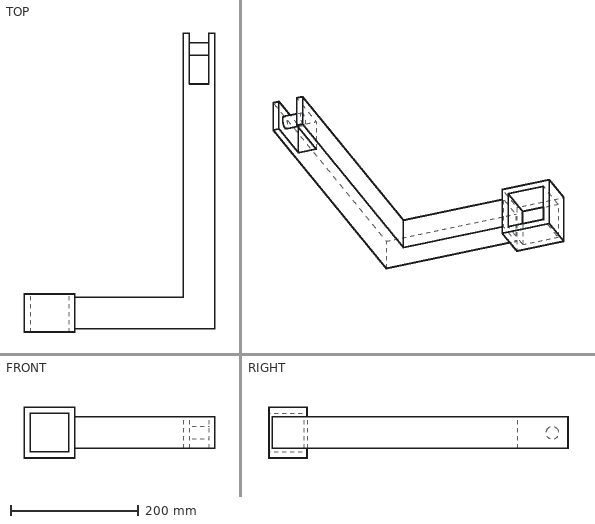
import cadquery as cq

sleeve_size = 80.0
sleeve_wall = 10.0
sleeve_length = 60.0
sleeve_bore = sleeve_size - 2 * sleeve_wall

bar_size = 50.0
overall_x = 300.0
overall_y = 470.0
bar_front_y = (sleeve_length - bar_size) / 2
long_arm_center_x = overall_x - bar_size / 2

slot_width = 30.0
slot_depth = 80.0

pin_diameter = 20.0
pin_end_distance = 25.0
pin_y = overall_y - pin_end_distance


def block(x_start, x_end, y_start, y_end, height):
    """Box between the given X and Y limits, centred on Z = 0."""
    return (
        cq.Workplane("XY")
        .box(x_end - x_start, y_end - y_start, height, centered=(False, False, True))
        .translate((x_start, y_start, 0))
    )


def make_sleeve():
    outer = block(0, sleeve_size, 0, sleeve_length, sleeve_size)
    bore = block(sleeve_wall, sleeve_wall + sleeve_bore, 0, sleeve_length, sleeve_bore)
    return outer.cut(bore)


def make_arm():
    short_arm = block(sleeve_size, overall_x, bar_front_y, bar_front_y + bar_size, bar_size)
    long_arm = block(overall_x - bar_size, overall_x, bar_front_y, overall_y, bar_size)
    return short_arm.union(long_arm)


def make_fork_slot():
    slot_start_x = long_arm_center_x - slot_width / 2
    return block(slot_start_x, slot_start_x + slot_width, overall_y - slot_depth, overall_y, bar_size)


def make_pin():
    """Round pin along X spanning the slot, at mid-height of the bar."""
    return (
        cq.Workplane("YZ", origin=(long_arm_center_x, 0, 0))
        .center(pin_y, 0)
        .circle(pin_diameter / 2)
        .extrude(slot_width / 2, both=True)
    )


result = make_sleeve().union(make_arm().cut(make_fork_slot())).union(make_pin())